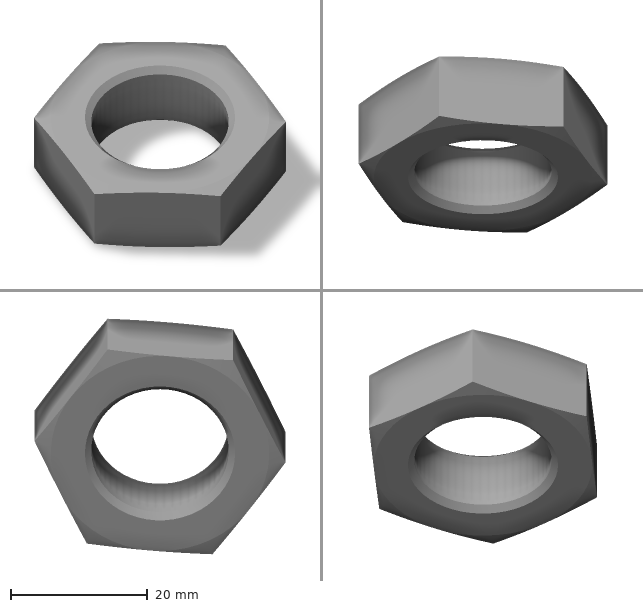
import cadquery as cq
import math

across_corners = 36.95
across_flats = across_corners * math.cos(math.radians(30))
height = 11.0
bore_diameter = 20.15
countersink_diameter = 22.0
corner_chamfer_angle = 11.5

corner_radius = across_corners / 2
face_radius = across_flats / 2
corner_drop = (corner_radius - face_radius) * math.tan(math.radians(corner_chamfer_angle))
countersink_depth = (countersink_diameter - bore_diameter) / 2


def hexagon_blank():
    return cq.Workplane("XY").polygon(6, across_corners).extrude(height)


def corner_envelope():
    """Turned body whose conical ends trim the hexagon corners."""
    profile = [
        (0, 0),
        (face_radius, 0),
        (corner_radius, corner_drop),
        (corner_radius, height - corner_drop),
        (face_radius, height),
        (0, height),
    ]
    return cq.Workplane("XZ").polyline(profile).close().revolve(360, (0, 0), (0, 1))


def countersunk_bore():
    """Through bore opening out to the countersink at both ends."""
    bore_radius = bore_diameter / 2
    mouth_radius = countersink_diameter / 2
    profile = [
        (0, 0),
        (mouth_radius, 0),
        (bore_radius, countersink_depth),
        (bore_radius, height - countersink_depth),
        (mouth_radius, height),
        (0, height),
    ]
    return cq.Workplane("XZ").polyline(profile).close().revolve(360, (0, 0), (0, 1))


result = hexagon_blank().intersect(corner_envelope()).cut(countersunk_bore())